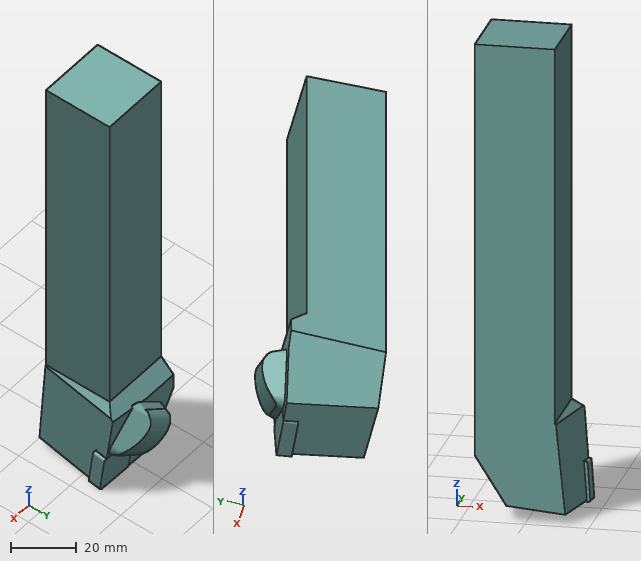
import cadquery as cq
import math

total_length = 152.4
overall_width = 31.7
shank_size = 25.0

shoulder_z = 32.3
head_depth = 29.9
side_start_x = 25.3
side_slope_y = 0.088
side_slope_z = 0.1
end_start_z = 5.6
end_slope_x = 0.087
end_slope_y = 0.095
relief_start_z = 20.4
relief_slope_x = 1.58
relief_slope_y = 0.05
rake_slope = 0.07
rake_start = 14.6
trim_size = 304.8

clamp_top = 36.3
clamp_back_x = 11.0
clamp_back_z = 25.3
clamp_angle = 53.0
clamp_length = 20.0
clamp_width = 18.0
clamp_draft = 20.0
clamp_corner_radius = 3.4
clamp_wall_top = 32.6
clamp_nose_depth = 29.0
round_start = 2.0
round_middle = (3.5, 35.2)
round_end = 6.1
nose_start = 7.6
nose_middle = (14.6, 33.7)
clamp_root = 27.5
clamp_root_start = 6.1

insert_circle = 12.6
insert_angle = 80.0
insert_thickness = 4.7
nose_radius = 0.8


def trim(body, point, outward):
    """Remove everything beyond a plane through point."""
    beyond = (
        cq.Workplane(cq.Plane(origin=point, normal=outward))
        .rect(trim_size, trim_size)
        .extrude(trim_size)
    )
    return body.cut(beyond)


def make_shank():
    shank_length = total_length - shoulder_z
    return (
        cq.Workplane("XY")
        .box(shank_size, shank_size, shank_length, centered=False)
        .translate((0, 0, shoulder_z))
    )


def make_head():
    head = cq.Workplane("XY").box(overall_width, head_depth, shoulder_z, centered=False)
    head = trim(head, (shank_size, 0, shoulder_z), (1, 0, 1))
    head = trim(head, (0, shank_size, shoulder_z), (0, 1, 1))
    head = trim(head, (side_start_x, 0, shoulder_z), (1, -side_slope_y, side_slope_z))
    head = trim(head, (0, 0, end_start_z), (-end_slope_x, -end_slope_y, -1))
    head = trim(head, (0, 0, relief_start_z), (-relief_slope_x, relief_slope_y, -1))
    return trim(head, (0, head_depth, rake_start), (rake_slope, 1, -rake_slope))


def make_clamp():
    """Drafted block on the rake face, rounded at its back and falling to its nose."""
    angle = math.radians(clamp_angle)
    axis = (math.cos(angle), 0, -math.sin(angle))
    base_plane = cq.Plane(origin=(clamp_back_x, clamp_root, clamp_back_z), xDir=axis, normal=(0, 1, 0))
    block = (
        cq.Workplane(base_plane)
        .center(clamp_length / 2, 0)
        .sketch()
        .rect(clamp_length, clamp_width)
        .vertices()
        .fillet(clamp_corner_radius)
        .finalize()
        .extrude(clamp_top - clamp_root, taper=clamp_draft)
    )
    side_plane = cq.Plane(
        origin=(clamp_back_x, 0, clamp_back_z),
        xDir=axis,
        normal=(math.sin(angle), 0, math.cos(angle)),
    )
    outline = (
        cq.Workplane(side_plane)
        .moveTo(0, head_depth)
        .lineTo(0, clamp_wall_top)
        .lineTo(round_start, clamp_wall_top)
        .threePointArc(round_middle, (round_end, clamp_top))
        .lineTo(nose_start, clamp_top)
        .threePointArc(nose_middle, (clamp_length, clamp_nose_depth))
        .lineTo(clamp_length, clamp_root)
        .lineTo(clamp_root_start, clamp_root)
        .close()
        .extrude(clamp_width, both=True)
    )
    return block.intersect(outline)


def make_insert():
    """Rhombic plate whose upper face is flush with the rake face."""
    half_angle = math.radians(insert_angle / 2)
    half_length = insert_circle / 2 / math.sin(half_angle)
    half_width = insert_circle / 2 / math.cos(half_angle)
    corner_shift = nose_radius / math.sin(half_angle) / math.sqrt(2) - nose_radius
    corner_x = overall_width + corner_shift
    corner_z = -corner_shift
    corner_y = head_depth - rake_slope * (corner_x - corner_z + rake_start)
    rake_plane = cq.Plane(
        origin=(corner_x, corner_y, corner_z),
        xDir=(1, -2 * rake_slope, -1),
        normal=(rake_slope, 1, -rake_slope),
    )
    return (
        cq.Workplane(rake_plane)
        .polyline([
            (0, 0),
            (-half_length, half_width),
            (-2 * half_length, 0),
            (-half_length, -half_width),
        ])
        .close()
        .extrude(-insert_thickness)
        .edges(cq.selectors.ParallelDirSelector(rake_plane.zDir))
        .fillet(nose_radius)
    )


insert = make_insert()
holder = make_shank().union(make_head()).union(make_clamp()).cut(insert)

result = cq.Compound.makeCompound([holder.val(), insert.val()])